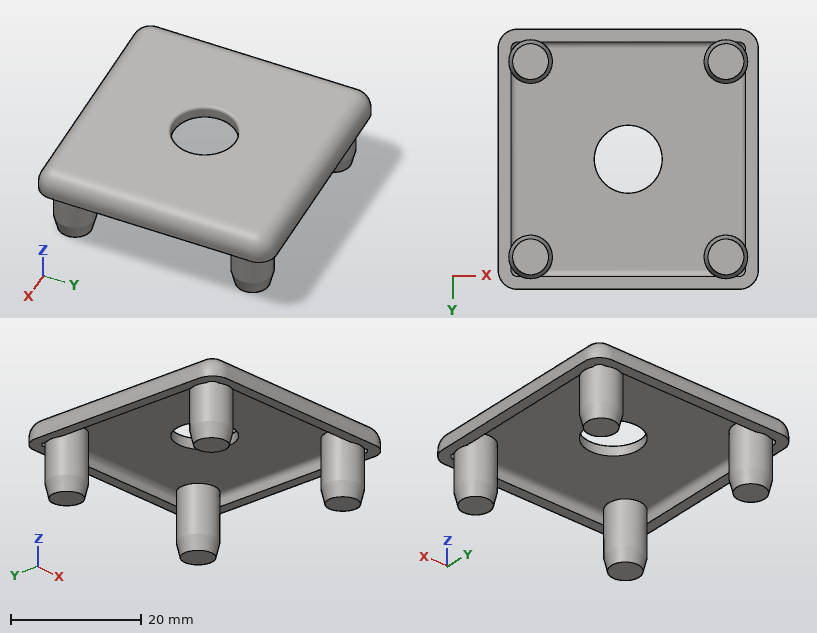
import cadquery as cq

cover_side = 40.0
cover_height = 4.0
edge_radius = 3.0
wall_thickness = 2.0

hole_diameter = 10.4
hole_rim_radius = 0.5

peg_diameter = 6.7
peg_tip_diameter = 5.5
peg_projection = 9.0
peg_taper_length = 2.5
peg_spacing = 30.0

cavity_height = cover_height - wall_thickness


def make_rounded_block(side, height, radius):
    """Square block on Z = 0 with rounded vertical edges and a rounded top rim."""
    block = cq.Workplane("XY").box(side, side, height, centered=(True, True, False))
    return block.edges("|Z or >Z").fillet(radius)


def make_cover():
    """Shell of uniform wall thickness, closed at the top."""
    outside = make_rounded_block(cover_side, cover_height, edge_radius)
    cavity = make_rounded_block(
        cover_side - 2 * wall_thickness, cavity_height, edge_radius - wall_thickness
    )
    return outside.cut(cavity)


def make_hole_cutter():
    """Through hole that flares outward in a rounded upper rim."""
    hole_radius = hole_diameter / 2
    flare_start = cover_height - hole_rim_radius
    flare_radius = hole_radius + hole_rim_radius
    arc_centre = cq.Vector(flare_radius, flare_start)
    arc_middle = arc_centre + cq.Vector(-1, 1).normalized() * hole_rim_radius
    return (
        cq.Workplane("XZ")
        .lineTo(hole_radius, 0)
        .lineTo(hole_radius, flare_start)
        .threePointArc((arc_middle.x, arc_middle.y), (flare_radius, cover_height))
        .lineTo(0, cover_height)
        .close()
        .revolve(360, (0, 0, 0), (0, 1, 0))
    )


def make_peg():
    """Round peg on the Z axis, from the inside of the top wall down to a tapered tip."""
    peg_radius = peg_diameter / 2
    return (
        cq.Workplane("XZ")
        .moveTo(0, cavity_height)
        .lineTo(peg_radius, cavity_height)
        .lineTo(peg_radius, peg_taper_length - peg_projection)
        .lineTo(peg_tip_diameter / 2, -peg_projection)
        .lineTo(0, -peg_projection)
        .close()
        .revolve(360, (0, 0, 0), (0, 1, 0))
    )


result = make_cover().cut(make_hole_cutter())

peg = make_peg()
for x_side in (-1, 1):
    for y_side in (-1, 1):
        peg_position = (x_side * peg_spacing / 2, y_side * peg_spacing / 2, 0)
        result = result.union(peg.translate(peg_position))